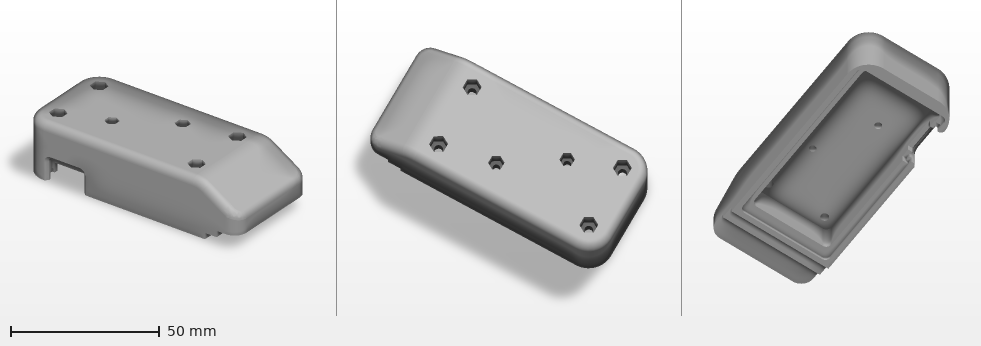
import cadquery as cq
import math

LENGTH = 90.03
WIDTH = 40.0
HEIGHT = 22.07
REAR_CORNER_R = 8.7
NOSE_CORNER_R = 5.0
TOP_EDGE_R = 3.0
ROOF_END_X = 71.2
ROOF_BEND_R = 10.0
NOSE_SLOPE = math.radians(32.0)
STEP_RISE = 2.45
STEP_RUN = 4.9
FIRST_STEP_X = 76.35

PLATE_HEIGHT = 1.35
PLATE_WALL = 2.0
BOARD_TOP = 4.07
CAVITY_TOP = 12.0
CAVITY_X = (4.2, 70.6)
CAVITY_WIDTH = 31.4
CAVITY_CORNER_R = 2.0

WINDOW_X = (10.1, 25.1)
WINDOW_TOP = 8.7
WINDOW_CORNER_R = 1.4
WINDOW_CHAMFER = 1.05
WINDOW_DEPTH = 2.55
WINDOW_FOOT_DEPTH = 2.9
CONNECTOR_X = (11.2, 23.9)
CONNECTOR_TOP = 6.5
RELIEF_HEIGHT = 2.45
RELIEF_OVERHANG = 2.0

NUT_DEPTH = 6.0
MOUNT_CENTRE_X = 37.5
MOUNT_PITCH_X = 58.0
MOUNT_PITCH_Y = 23.0
MOUNT_NUT = 5.5
MOUNT_HOLE = 3.0
LOW_NUT = (26.15, -5.0)
LOW_NUT_SIZE = 4.5
LOW_NUT_HOLE = 2.7
HIGH_NUT = (46.35, 7.7)
HIGH_NUT_SIZE = 4.8
HIGH_NUT_HOLE = 2.5

FRONT_Y = -WIDTH / 2
BACK_Y = WIDTH / 2
OVERLAP = 1.0
HEX_TURN = 30


def box(x_range, y_range, z_range):
    """Box given by its low and high limit along each axis."""
    return cq.Workplane("XY").box(
        x_range[1] - x_range[0],
        y_range[1] - y_range[0],
        z_range[1] - z_range[0],
        centered=False,
    ).translate((x_range[0], y_range[0], z_range[0]))


def outer_body():
    """Side profile run across the width, with rounded uprights and a rounded top."""
    bend_tangent = ROOF_BEND_R * math.tan(NOSE_SLOPE / 2)
    corner_x = ROOF_END_X + bend_tangent
    bend_mid = (
        ROOF_END_X + ROOF_BEND_R * math.sin(NOSE_SLOPE / 2),
        HEIGHT - ROOF_BEND_R * (1 - math.cos(NOSE_SLOPE / 2)),
    )
    bend_end = (
        ROOF_END_X + ROOF_BEND_R * math.sin(NOSE_SLOPE),
        HEIGHT - ROOF_BEND_R * (1 - math.cos(NOSE_SLOPE)),
    )
    nose_top = HEIGHT - (LENGTH - corner_x) * math.tan(NOSE_SLOPE)
    body = (
        cq.Workplane("XZ", origin=(0, BACK_Y, 0))
        .lineTo(LENGTH, 0)
        .lineTo(LENGTH, nose_top)
        .lineTo(*bend_end)
        .threePointArc(bend_mid, (ROOF_END_X, HEIGHT))
        .lineTo(0, HEIGHT)
        .close()
        .extrude(WIDTH)
    )
    body = body.edges("|Z and <X").fillet(REAR_CORNER_R)
    body = body.edges("|Z and >X").fillet(NOSE_CORNER_R)
    return body.faces(">Z").edges("<X").fillet(TOP_EDGE_R)


def nose_steps():
    """Space below the nose that leaves two stair steps on the underside."""
    first = box((FIRST_STEP_X, LENGTH), (FRONT_Y, BACK_Y), (0, STEP_RISE))
    second = box((FIRST_STEP_X + STEP_RUN, LENGTH), (FRONT_Y, BACK_Y), (0, 2 * STEP_RISE))
    return first.union(second)


def interior():
    """Main cavity and the wider, shallow recess for the closing plate at its mouth."""
    half = CAVITY_WIDTH / 2
    cavity = box(CAVITY_X, (-half, half), (0, CAVITY_TOP)).edges("|Z").fillet(CAVITY_CORNER_R)
    inner_y = BACK_Y - PLATE_WALL
    plate = box((CAVITY_X[0], FIRST_STEP_X - PLATE_WALL), (-inner_y, inner_y), (0, PLATE_HEIGHT))
    plate = plate.edges("|Z").fillet(CAVITY_CORNER_R)
    return cavity.union(plate)


def window_outline(y, grow):
    """Window outline, open downward, on the plane at y; grow widens it on all sides."""
    low = -WINDOW_TOP
    width = WINDOW_X[1] - WINDOW_X[0] + 2 * grow
    height = WINDOW_TOP - low + 2 * grow
    centre = (sum(WINDOW_X) / 2, y, (WINDOW_TOP + low) / 2)
    sketch = cq.Sketch().rect(width, height).vertices().fillet(WINDOW_CORNER_R + grow)
    return cq.Workplane("XZ", origin=centre).placeSketch(sketch)


def connector_window():
    """Flared window in the wall, with the connector and board spaces leading into the cavity."""
    opening = window_outline(FRONT_Y + WINDOW_DEPTH, 0).extrude(WINDOW_DEPTH)
    flare = window_outline(FRONT_Y, WINDOW_CHAMFER).extrude(-WINDOW_CHAMFER, taper=45)
    inner_y = -CAVITY_WIDTH / 2 + OVERLAP
    foot_y = FRONT_Y + WINDOW_FOOT_DEPTH
    relief_x = (WINDOW_X[0] - RELIEF_OVERHANG, WINDOW_X[1] + RELIEF_OVERHANG)
    foot = box(WINDOW_X, (FRONT_Y, foot_y), (0, BOARD_TOP))
    connector = box(CONNECTOR_X, (FRONT_Y + WINDOW_CHAMFER, inner_y), (0, CONNECTOR_TOP))
    board = box((CONNECTOR_X[0], relief_x[1]), (foot_y, inner_y), (0, BOARD_TOP))
    relief = box(relief_x, (FRONT_Y + PLATE_WALL, inner_y), (0, RELIEF_HEIGHT))
    cutter = opening.union(flare)
    for space in (foot, connector, board, relief):
        cutter = cutter.union(space)
    return cutter


def nut_pocket(x, y, across_flats, hole):
    """Hexagonal socket sunk from the roof, with a round hole on through it."""
    corner_diameter = across_flats / math.cos(math.radians(HEX_TURN))
    socket = (
        cq.Workplane("XY", origin=(x, y, HEIGHT - NUT_DEPTH))
        .transformed(rotate=(0, 0, HEX_TURN))
        .polygon(6, corner_diameter)
        .extrude(NUT_DEPTH)
    )
    shaft = cq.Workplane("XY", origin=(x, y, 0)).circle(hole / 2).extrude(HEIGHT)
    return socket.union(shaft)


NUT_POCKETS = [
    (MOUNT_CENTRE_X + sx * MOUNT_PITCH_X / 2, sy * MOUNT_PITCH_Y / 2, MOUNT_NUT, MOUNT_HOLE)
    for sx in (-1, 1)
    for sy in (-1, 1)
] + [
    (*LOW_NUT, LOW_NUT_SIZE, LOW_NUT_HOLE),
    (*HIGH_NUT, HIGH_NUT_SIZE, HIGH_NUT_HOLE),
]

result = outer_body().cut(nose_steps()).cut(interior()).cut(connector_window())
for pocket in NUT_POCKETS:
    result = result.cut(nut_pocket(*pocket))